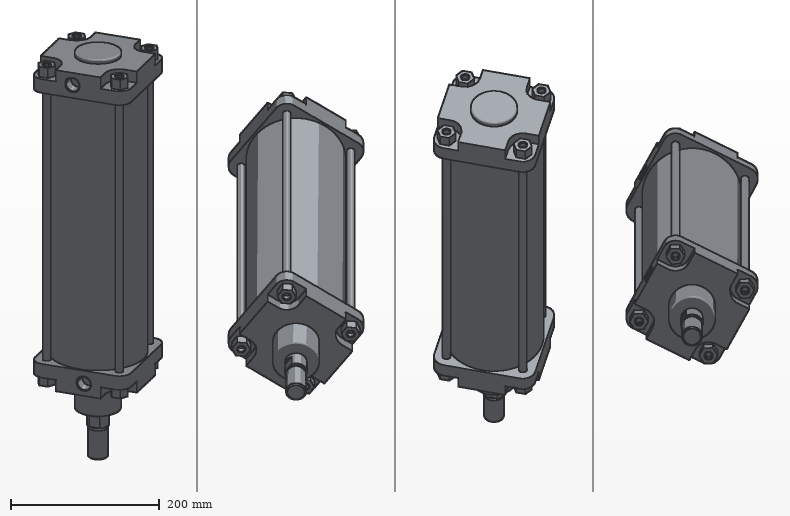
import cadquery as cq
import math


HEAD_WIDTH = 140.0
HEAD_HEIGHT = 37.0
HEAD_CORNER_RADIUS = 17.0
TIE_ROD_OFFSET = HEAD_WIDTH / 2 - HEAD_CORNER_RADIUS
NUT_POCKET_RADIUS = 20.0
NUT_POCKET_DEPTH = 16.5

TOTAL_LENGTH = 594
BOSS_HEIGHT = 6.0
FRONT_HEAD_BOTTOM = 117.5
FRONT_HEAD_TOP = FRONT_HEAD_BOTTOM + HEAD_HEIGHT
REAR_HEAD_TOP = TOTAL_LENGTH - BOSS_HEIGHT
REAR_HEAD_BOTTOM = REAR_HEAD_TOP - HEAD_HEIGHT

BOSS_RADIUS = 31.5
BOSS_FILLET = 2.0
GLAND_LENGTH = 46.5
GLAND_BOTTOM = FRONT_HEAD_BOTTOM - GLAND_LENGTH

PORT_RADIUS = 9.5
PORT_CHAMFER = 1.0
PORT_DEPTH = 18.0
PORT_OFFSET = 8.5
PORT_DISTANCE_FROM_OUTER_FACE = 18.0

BARREL_RADIUS = 67.0

TIE_ROD_RADIUS = 5.65
NUT_ACROSS_FLATS = 22.0
NUT_HEIGHT = 15.0
NUT_BORE_RADIUS = 5.0
NUT_BORE_CHAMFER = 1.0
NUT_BORE_DEPTH = 9.0

ROD_RADIUS = 15.0
ROD_ACROSS_FLATS = 25.5
ROD_SHOULDER = 47.0
FLATS_TOP = 64.0
THREAD_RADIUS = 13.5
THREAD_CHAMFER = 2.0
NECK_RADIUS = THREAD_RADIUS - THREAD_CHAMFER
NECK_HEIGHT = 2.0
THREAD_TOP = ROD_SHOULDER - NECK_HEIGHT


def cylinder(radius, bottom, top):
    return cq.Workplane("XY").workplane(offset=bottom).circle(radius).extrude(top - bottom)


def corner_positions():
    return [(x, y) for x in (-TIE_ROD_OFFSET, TIE_ROD_OFFSET) for y in (-TIE_ROD_OFFSET, TIE_ROD_OFFSET)]


def nut_pocket(x, y):
    """Cutter for one corner: round about the tie rod, and open to both outer sides."""
    reach = 2 * NUT_POCKET_RADIUS
    pocket = cq.Workplane("XY").circle(NUT_POCKET_RADIUS).extrude(NUT_POCKET_DEPTH)
    out_x = math.copysign(reach / 2, x)
    out_y = math.copysign(reach / 2, y)
    for offset in ((out_x, 0), (0, out_y)):
        arm = cq.Workplane("XY").center(*offset).rect(reach, reach).extrude(NUT_POCKET_DEPTH)
        pocket = pocket.union(arm)
    return pocket.translate((x, y, HEAD_HEIGHT - NUT_POCKET_DEPTH))


def make_head(boss_height, port_x):
    """A head with its inner face at Z = 0 and its outer face and boss upwards."""
    head = cq.Workplane("XY").rect(HEAD_WIDTH, HEAD_WIDTH).extrude(HEAD_HEIGHT)
    head = head.edges("|Z").fillet(HEAD_CORNER_RADIUS)
    for x, y in corner_positions():
        head = head.cut(nut_pocket(x, y))
    tie_rod_holes = cq.Workplane("XY").pushPoints(corner_positions()).circle(TIE_ROD_RADIUS)
    head = head.cut(tie_rod_holes.extrude(HEAD_HEIGHT))
    boss = cylinder(BOSS_RADIUS, HEAD_HEIGHT, HEAD_HEIGHT + boss_height)
    head = head.union(boss.faces(">Z").edges().fillet(BOSS_FILLET))
    port = cq.Workplane("XZ", origin=(port_x, -HEAD_WIDTH / 2, HEAD_HEIGHT - PORT_DISTANCE_FROM_OUTER_FACE))
    head = head.cut(port.circle(PORT_RADIUS).extrude(-PORT_DEPTH))
    mouth = port.circle(PORT_RADIUS + PORT_CHAMFER).extrude(-PORT_CHAMFER, taper=45)
    return head.cut(mouth)


def make_rear_head():
    return make_head(BOSS_HEIGHT, -PORT_OFFSET).translate((0, 0, REAR_HEAD_BOTTOM))


def make_front_head():
    head = make_head(GLAND_LENGTH, -PORT_OFFSET).rotate((0, 0, 0), (0, 1, 0), 180)
    return head.translate((0, 0, FRONT_HEAD_TOP))


def make_barrel():
    return cylinder(BARREL_RADIUS, FRONT_HEAD_TOP, REAR_HEAD_BOTTOM)


def make_nut():
    """A nut with its seat at Z = 0 and the bored outer face upwards."""
    across_corners = NUT_ACROSS_FLATS / math.cos(math.pi / 6)
    nut = cq.Workplane("XY").polygon(6, across_corners).extrude(NUT_HEIGHT)
    bore_bottom = NUT_HEIGHT - NUT_BORE_DEPTH
    bore = cylinder(NUT_BORE_RADIUS, bore_bottom, NUT_HEIGHT)
    mouth = cq.Workplane("XY").workplane(offset=NUT_HEIGHT).circle(NUT_BORE_RADIUS + NUT_BORE_CHAMFER)
    return nut.cut(bore).cut(mouth.extrude(-NUT_BORE_CHAMFER, taper=45))


def make_tie_rod(x, y):
    lower_seat = FRONT_HEAD_BOTTOM + NUT_POCKET_DEPTH
    upper_seat = REAR_HEAD_TOP - NUT_POCKET_DEPTH
    upper_nut = make_nut().translate((0, 0, upper_seat))
    lower_nut = make_nut().rotate((0, 0, 0), (1, 0, 0), 180).translate((0, 0, lower_seat))
    shank = cylinder(TIE_ROD_RADIUS, lower_seat, upper_seat)
    return shank.union(upper_nut).union(lower_nut).translate((x, y, 0))


def make_piston_rod():
    collar = cylinder(ROD_RADIUS, ROD_SHOULDER, GLAND_BOTTOM)
    flats = cq.Workplane("XY").workplane(offset=ROD_SHOULDER).rect(2 * ROD_RADIUS, ROD_ACROSS_FLATS)
    flats = flats.extrude(FLATS_TOP - ROD_SHOULDER)
    collar = collar.intersect(flats.union(cylinder(ROD_RADIUS, FLATS_TOP, GLAND_BOTTOM)))
    neck = cylinder(NECK_RADIUS, THREAD_TOP, ROD_SHOULDER)
    thread = cylinder(THREAD_RADIUS, 0, THREAD_TOP).edges().chamfer(THREAD_CHAMFER)
    return collar.union(neck).union(thread)


rear_head = make_rear_head()
front_head = make_front_head()
barrel = make_barrel()
piston_rod = make_piston_rod()
tie_rods = [make_tie_rod(x, y) for x, y in corner_positions()]

result = cq.Compound.makeCompound(
    [
        rear_head.val(),
        front_head.val(),
        barrel.val(),
        piston_rod.val(),
        *[tie_rod.val() for tie_rod in tie_rods],
    ]
)